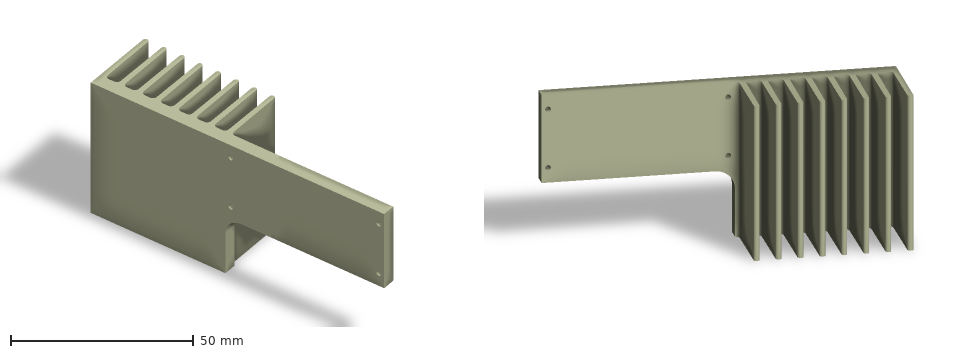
import cadquery as cq

length = 100.0
depth = 25.0
height = 45.0

plate_thickness = 4.2
block_width = 45.9
arm_height = 25.6
inner_corner_radius = 5.5

fin_count = 8
fin_row_span = 43.0
fin_pitch = fin_row_span / (fin_count - 1)
tip_radius = 0.8
root_half_width = 0.9
root_fillet = 1.3

hole_diameter = 1.6
hole_end_offset = 1.8
hole_top_offset = 4.3
hole_spacing_x = 50.4
hole_spacing_z = 17.0


def base_plate():
    """L-shaped plate with a rounded inner corner, front face at Y = 0."""
    arm_bottom = height - arm_height
    return (
        cq.Workplane("XZ")
        .moveTo(0, 0)
        .lineTo(block_width, 0)
        .lineTo(block_width, arm_bottom - inner_corner_radius)
        .radiusArc((block_width + inner_corner_radius, arm_bottom), inner_corner_radius)
        .lineTo(length, arm_bottom)
        .lineTo(length, height)
        .lineTo(0, height)
        .close()
        .extrude(-plate_thickness)
    )


def fin(index):
    """Full-height fin; the first one keeps its outer side flush with the plate end."""
    center = root_half_width + index * fin_pitch
    root_left = center - root_half_width
    tip_left = root_left if index == 0 else center - tip_radius
    tip_right = center + tip_radius
    tip_middle = (tip_left + tip_right) / 2
    tip_start = depth - (tip_right - tip_left) / 2
    return (
        cq.Workplane("XY")
        .moveTo(root_left, plate_thickness)
        .lineTo(tip_left, tip_start)
        .threePointArc((tip_middle, depth), (tip_right, tip_start))
        .lineTo(center + root_half_width, plate_thickness)
        .close()
        .extrude(height)
    )


def round_fin_roots(body):
    """Fillet every concave edge where a fin side meets the back of the plate."""
    last_center = root_half_width + fin_row_span
    margin = root_half_width / 2
    root_zone = cq.selectors.BoxSelector(
        (margin, plate_thickness - margin, 0),
        (last_center + root_half_width + margin, plate_thickness + margin, height),
    )
    return body.edges("|Z").edges(root_zone).fillet(root_fillet)


def mounting_holes():
    """Four through holes, two at each end of the arm."""
    right = length - hole_end_offset
    top = height - hole_top_offset
    centers = [
        (x, z)
        for x in (right - hole_spacing_x, right)
        for z in (top - hole_spacing_z, top)
    ]
    return (
        cq.Workplane("XZ")
        .pushPoints(centers)
        .circle(hole_diameter / 2)
        .extrude(-plate_thickness)
    )


body = base_plate()
for fin_index in range(fin_count):
    body = body.union(fin(fin_index))

result = round_fin_roots(body).cut(mounting_holes())